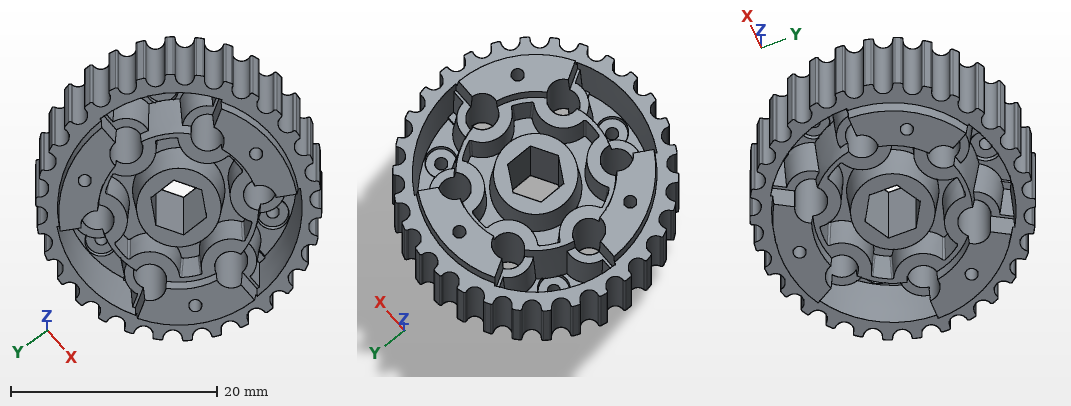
import cadquery as cq
import math


TOOTH_COUNT = 30
TIP_RADIUS = 13.895
GAP_ROOT_RADIUS = 12.77
GAP_RADIUS = 0.93
GAP_FLANK_ANGLE = 8
TIP_ROUND = 0.2

RIM_TOP = 5.05
LUG_HEIGHT = 1.55
LUG_TOP = RIM_TOP + LUG_HEIGHT
LEDGE_Z = RIM_TOP - 1.63
POCKET_FLOOR_Z = -2.0
STAR_FLOOR_Z = 0.5

SECTOR_ANGLE = 60
LUG_MIDDLES = (90, 210, 330)
POCKET_MIDDLES = (30, 150, 270)
LUG_OUTER_BASE, LUG_OUTER_TOP = 11.77, 11.65
LUG_INNER_BASE, LUG_INNER_TOP = 7.77, 7.9
POCKET_OUTER_TOP, POCKET_OUTER_FLOOR = 11.98, 11.43
POCKET_INNER_TOP, POCKET_INNER_FLOOR = 7.76, 8.55
LUG_SIDE_SETBACK_TOP = 0.075
SIDE_SETBACK_ABOVE_LEDGE = LUG_SIDE_SETBACK_TOP * (RIM_TOP - LEDGE_Z) / LUG_HEIGHT
SIDE_SETBACK_LEDGE, SIDE_SETBACK_FLOOR = 0.36, 0.76
CORNER_STEP_SETBACK = 1.5
CORNER_STEP_HEIGHT = 0.4

HOLE_COUNT = 6
HOLE_CIRCLE_RADIUS = 8.0
HOLE_RADIUS = 1.6
HOLE_WALL_LEDGE, HOLE_WALL_FLOOR = 2.48, 2.88

SCREW_CIRCLE_RADIUS = 9.74
SCREW_HOLE_RADIUS = 0.63
SCREW_RECESS_TOP, SCREW_RECESS_BOTTOM = 1.6, 1.52
SCREW_RECESS_DEPTH = 0.5

STAR_OUTER_TOP, STAR_OUTER_FLOOR = 7.28, 7.06
STAR_HOLE_WALL_TOP, STAR_HOLE_WALL_FLOOR = 2.9, 3.1
STAR_CORNER_ROUND = 0.2
HUB_TOP_RADIUS, HUB_BASE_RADIUS = 4.1, 4.48
HEX_ACROSS_FLATS = 5.0


def polar(radius, degrees):
    angle = math.radians(degrees)
    return (radius * math.cos(angle), radius * math.sin(angle))


def cone(bottom_radius, top_radius, bottom_z, top_z):
    """Truncated cone on the Z axis."""
    profile = [(0, bottom_z), (bottom_radius, bottom_z), (top_radius, top_z), (0, top_z)]
    return cq.Workplane("XZ").polyline(profile).close().revolve(360, (0, 0), (0, 1))


def ring(inner, outer, bottom_z, top_z):
    """Tapered ring; inner and outer are (bottom radius, top radius) pairs."""
    return cone(*outer, bottom_z, top_z).cut(cone(*inner, bottom_z, top_z))


def wedge_outline(setback):
    """Sector triangle about +X with its two sides moved inward by the setback."""
    half_angle = math.radians(SECTOR_ANGLE / 2)
    apex_x = setback / math.sin(half_angle)
    far_x = 2 * TIP_RADIUS
    far_y = (far_x - apex_x) * math.tan(half_angle)
    return [(apex_x, 0), (far_x, -far_y), (far_x, far_y)]


def wedge(bottom_setback, top_setback, bottom_z, top_z):
    """Sector block about +X whose sides lean evenly from one setback to the other."""
    height = top_z - bottom_z
    taper = math.degrees(math.atan((top_setback - bottom_setback) / height))
    base = cq.Workplane("XY", origin=(0, 0, bottom_z)).polyline(wedge_outline(bottom_setback)).close()
    return base.extrude(height, taper=taper)


def around(shape, angles):
    """Copies of the shape turned about Z to each angle, as one workplane."""
    copies = shape.rotate((0, 0, 0), (0, 0, 1), angles[0])
    for angle in angles[1:]:
        copies = copies.add(shape.rotate((0, 0, 0), (0, 0, 1), angle))
    return copies.combine()


def hole_angles():
    return [index * 360 / HOLE_COUNT for index in range(HOLE_COUNT)]


def round_columns(radius, circle_radius, angles):
    """Cylinders through the whole height."""
    points = [polar(circle_radius, angle) for angle in angles]
    plane = cq.Workplane("XY", origin=(0, 0, -LUG_TOP))
    return plane.pushPoints(points).circle(radius).extrude(2 * LUG_TOP)


def tooth_gap():
    """Gap about +X: a round root with straight flanks opening outward."""
    flank = math.radians(GAP_FLANK_ANGLE)
    centre_x = GAP_ROOT_RADIUS + GAP_RADIUS
    flank_x = centre_x - GAP_RADIUS * math.sin(flank)
    flank_y = GAP_RADIUS * math.cos(flank)
    mouth_x = TIP_RADIUS + GAP_RADIUS
    mouth_y = flank_y + (mouth_x - flank_x) * math.tan(flank)
    outline = cq.Workplane("XY", origin=(0, 0, -RIM_TOP)).moveTo(mouth_x, mouth_y).lineTo(flank_x, flank_y)
    outline = outline.threePointArc((GAP_ROOT_RADIUS, 0), (flank_x, -flank_y)).lineTo(mouth_x, -mouth_y)
    return outline.close().extrude(2 * RIM_TOP)


def is_tip_corner(edge):
    centre = edge.Center()
    return math.hypot(centre.x, centre.y) > GAP_ROOT_RADIUS + GAP_RADIUS


def toothed_blank():
    gap_angles = [(index + 0.5) * 360 / TOOTH_COUNT for index in range(TOOTH_COUNT)]
    blank = cq.Workplane("XY", origin=(0, 0, -RIM_TOP)).circle(TIP_RADIUS).extrude(2 * RIM_TOP)
    blank = blank.cut(around(tooth_gap(), gap_angles))
    return blank.edges("|Z").filter(is_tip_corner).fillet(TIP_ROUND)


def lugs():
    lug = ring((LUG_INNER_BASE, LUG_INNER_TOP), (LUG_OUTER_BASE, LUG_OUTER_TOP), RIM_TOP, LUG_TOP)
    return around(lug.intersect(wedge(0, LUG_SIDE_SETBACK_TOP, RIM_TOP, LUG_TOP)), LUG_MIDDLES)


def pocket():
    """Sector pocket about +X: full width above the ledge, set back at the sides below it."""
    step_top = POCKET_FLOOR_Z + CORNER_STEP_HEIGHT
    sector = wedge(SIDE_SETBACK_FLOOR, SIDE_SETBACK_LEDGE, POCKET_FLOOR_Z, LEDGE_Z)
    corner_steps = wedge(0, 0, POCKET_FLOOR_Z, step_top)
    corner_steps = corner_steps.cut(wedge(CORNER_STEP_SETBACK, CORNER_STEP_SETBACK, POCKET_FLOOR_Z, step_top))
    sector = sector.cut(corner_steps)
    for side in (-1, 1):
        wall = cone(HOLE_WALL_FLOOR, HOLE_WALL_LEDGE, POCKET_FLOOR_Z, LEDGE_Z)
        sector = sector.cut(wall.translate(polar(HOLE_CIRCLE_RADIUS, side * SECTOR_ANGLE / 2)))
    sector = sector.union(wedge(SIDE_SETBACK_ABOVE_LEDGE, 0, LEDGE_Z, RIM_TOP))
    inner_wall = (POCKET_INNER_FLOOR, POCKET_INNER_TOP)
    outer_wall = (POCKET_OUTER_FLOOR, POCKET_OUTER_TOP)
    return ring(inner_wall, outer_wall, POCKET_FLOOR_Z, RIM_TOP).intersect(sector)


def screw_recess():
    """Shallow tapered recess for the screw hole in a pocket floor, placed on +X."""
    recess = cone(SCREW_RECESS_BOTTOM, SCREW_RECESS_TOP, POCKET_FLOOR_Z - SCREW_RECESS_DEPTH, POCKET_FLOOR_Z)
    return recess.translate((SCREW_CIRCLE_RADIUS, 0, 0))


def star_cavity():
    star = cone(STAR_OUTER_FLOOR, STAR_OUTER_TOP, STAR_FLOOR_Z, RIM_TOP)
    for angle in hole_angles():
        wall = cone(STAR_HOLE_WALL_FLOOR, STAR_HOLE_WALL_TOP, STAR_FLOOR_Z, RIM_TOP)
        star = star.cut(wall.translate(polar(HOLE_CIRCLE_RADIUS, angle)))
    arm_corners = cq.selectors.BoxSelector(
        (-TIP_RADIUS, -TIP_RADIUS, STAR_FLOOR_Z + STAR_CORNER_ROUND),
        (TIP_RADIUS, TIP_RADIUS, RIM_TOP - STAR_CORNER_ROUND),
    )
    star = star.edges(arm_corners).fillet(STAR_CORNER_ROUND)
    return star.cut(cone(HUB_BASE_RADIUS, HUB_TOP_RADIUS, STAR_FLOOR_Z, RIM_TOP))


def both_sides(shape):
    """The shape with its copy turned over about the X axis."""
    return (shape, shape.rotate((0, 0, 0), (1, 0, 0), 180))


def hexagonal_bore():
    corner_diameter = HEX_ACROSS_FLATS / math.cos(math.pi / 6)
    bore = cq.Workplane("XY", origin=(0, 0, -RIM_TOP)).polygon(6, corner_diameter).extrude(2 * RIM_TOP)
    return bore.rotate((0, 0, 0), (0, 0, 1), 90)


result = toothed_blank()
for side_lugs in both_sides(lugs()):
    result = result.union(side_lugs)
side_cuts = (around(pocket(), POCKET_MIDDLES), around(screw_recess(), POCKET_MIDDLES), star_cavity())
for side_cut in side_cuts:
    for tool in both_sides(side_cut):
        result = result.cut(tool)
result = result.cut(round_columns(HOLE_RADIUS, HOLE_CIRCLE_RADIUS, hole_angles()))
result = result.cut(round_columns(SCREW_HOLE_RADIUS, SCREW_CIRCLE_RADIUS, LUG_MIDDLES + POCKET_MIDDLES))
result = result.cut(hexagonal_bore())